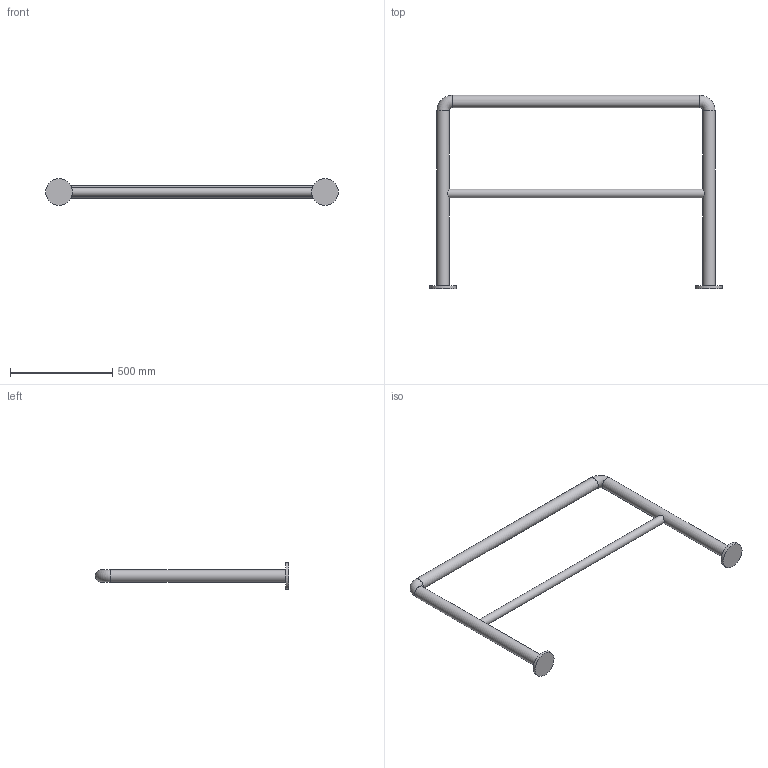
import cadquery as cq

TUBE_DIAMETER = 60.32
POST_SPACING = 1300.0
TOP_RAIL_Y = 915.0
BEND_RADIUS = 45.0

CROSS_RAIL_DIAMETER = 42.16

FLANGE_DIAMETER = 130.0
FLANGE_THICKNESS = 15.0

POST_X = POST_SPACING / 2
BEND_START_Y = TOP_RAIL_Y - BEND_RADIUS
BEND_START_X = POST_X - BEND_RADIUS
CROSS_RAIL_Y = (FLANGE_THICKNESS + TOP_RAIL_Y) / 2


def cylinder_along_y(x, y_start, length, diameter):
    """Cylinder whose axis runs in +Y from y_start."""
    start = cq.Vector(x, y_start, 0)
    return cq.Workplane(cq.Solid.makeCylinder(diameter / 2, length, start, cq.Vector(0, 1, 0)))


def cylinder_along_x(y, half_length, diameter):
    """Cylinder along X, centred on X = 0."""
    start = cq.Vector(-half_length, y, 0)
    return cq.Workplane(cq.Solid.makeCylinder(diameter / 2, 2 * half_length, start, cq.Vector(1, 0, 0)))


def elbow(side):
    """Quarter-turn elbow from a post (side -1 or +1) to the top rail."""
    bend_centre_offset = -side * BEND_RADIUS
    post_end = cq.Workplane("XZ", origin=(side * POST_X, BEND_START_Y, 0))
    axis_start = (bend_centre_offset, 0)
    axis_end = (bend_centre_offset, side)
    return post_end.circle(TUBE_DIAMETER / 2).revolve(90, axis_start, axis_end)


def post(side):
    """Straight post with its mounting flange."""
    x = side * POST_X
    flange = cylinder_along_y(x, 0, FLANGE_THICKNESS, FLANGE_DIAMETER)
    tube = cylinder_along_y(x, FLANGE_THICKNESS, BEND_START_Y - FLANGE_THICKNESS, TUBE_DIAMETER)
    return flange.union(tube)


result = cylinder_along_x(TOP_RAIL_Y, BEND_START_X, TUBE_DIAMETER)
for side in (-1, 1):
    result = result.union(elbow(side)).union(post(side))

result = result.union(cylinder_along_x(CROSS_RAIL_Y, POST_X, CROSS_RAIL_DIAMETER))